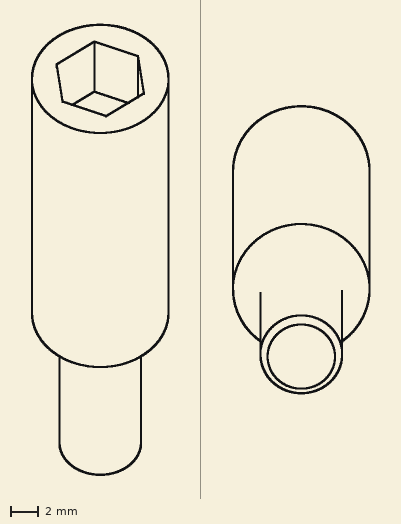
import cadquery as cq
import math

total_length = 44.0
head_diameter = 10.0
shank_diameter = 6.0
shank_length = 16.0
tip_chamfer = 0.55
fillet_radius = 1.0
hex_across_flats = 6.0
hex_depth = 6.0

head_radius = head_diameter / 2
shank_radius = shank_diameter / 2
hex_across_corners = hex_across_flats / math.cos(math.pi / 6)


def make_body():
    """Revolve the half profile of shank, concave fillet and head."""
    fillet_diagonal = fillet_radius * (1 - math.sqrt(0.5))
    fillet_middle = (shank_radius + fillet_diagonal, shank_length - fillet_diagonal)
    return (
        cq.Workplane("XZ")
        .lineTo(shank_radius - tip_chamfer, 0)
        .lineTo(shank_radius, tip_chamfer)
        .lineTo(shank_radius, shank_length - fillet_radius)
        .threePointArc(fillet_middle, (shank_radius + fillet_radius, shank_length))
        .lineTo(head_radius, shank_length)
        .lineTo(head_radius, total_length)
        .lineTo(0, total_length)
        .close()
        .revolve(360, (0, 0, 0), (0, 1, 0))
    )


def make_hex_socket():
    """Blind hexagonal socket in the head, with two corners on the X axis."""
    return (
        cq.Workplane("XY")
        .workplane(offset=total_length - hex_depth)
        .polygon(6, hex_across_corners)
        .extrude(hex_depth)
    )


result = make_body().cut(make_hex_socket())